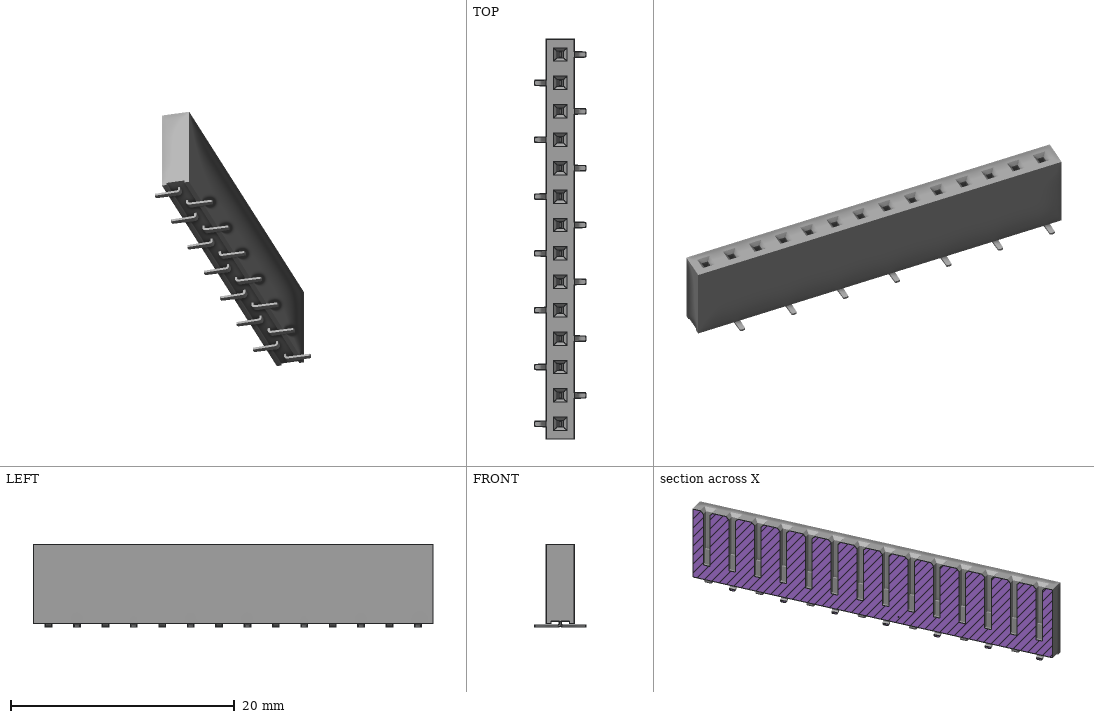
import cadquery as cq

pin_count = 14
pitch = 2.54
end_margin = 0.1
body_width = 2.54
total_height = 7.4
tail_span = 4.64

standoff = 0.3
channel_width = 1.65
channel_depth = 0.2

mouth_size = 1.2
socket_size = 0.6
mouth_depth = 0.3
socket_floor = 2.0

strip_thickness = 0.2
root_width = 0.6
tip_width = 0.48
tip_bulge = 0.06
blade_width = 0.44
blade_height = 3.0
bend_inner_radius = 0.1

body_length = pin_count * pitch + 2 * end_margin
body_height = total_height - standoff
channel_roof = standoff + channel_depth
first_pin_y = pitch * (pin_count - 1) / 2
bend_outer_radius = bend_inner_radius + strip_thickness
tail_reach = tail_span / 2


def make_housing():
    """Rectangular block with a channel running along its underside."""
    block = (
        cq.Workplane("XY", origin=(0, 0, standoff))
        .rect(body_width, body_length)
        .extrude(body_height)
    )
    channel = (
        cq.Workplane("XY", origin=(0, 0, standoff))
        .rect(channel_width, body_length)
        .extrude(channel_depth)
    )
    return block.cut(channel)


def make_socket():
    """Cutting solid for one square blind hole with a tapered mouth."""
    mouth = (
        cq.Workplane("XY", origin=(0, 0, total_height))
        .rect(mouth_size, mouth_size)
        .workplane(offset=-mouth_depth)
        .rect(socket_size, socket_size)
        .loft(ruled=True)
    )
    shaft = (
        cq.Workplane("XY", origin=(0, 0, socket_floor))
        .rect(socket_size, socket_size)
        .extrude(total_height - mouth_depth - socket_floor)
    )
    return mouth.union(shaft)


def make_contact():
    """L-shaped contact whose foot runs out to +X; its blade stands inside the socket."""
    back = -strip_thickness / 2
    front = strip_thickness / 2
    bend_end = back + bend_outer_radius
    strip = (
        cq.Workplane("XZ")
        .moveTo(back, channel_roof)
        .lineTo(back, bend_outer_radius)
        .radiusArc((bend_end, 0), -bend_outer_radius)
        .lineTo(tail_reach, 0)
        .lineTo(tail_reach, strip_thickness)
        .lineTo(bend_end, strip_thickness)
        .radiusArc((front, bend_outer_radius), bend_inner_radius)
        .lineTo(front, channel_roof)
        .close()
        .extrude(root_width / 2, both=True)
    )
    tip_start = tail_reach - tip_bulge
    outline = (
        cq.Workplane("XY")
        .moveTo(back, -root_width / 2)
        .lineTo(bend_end, -root_width / 2)
        .lineTo(tip_start, -tip_width / 2)
        .threePointArc((tail_reach, 0), (tip_start, tip_width / 2))
        .lineTo(bend_end, root_width / 2)
        .lineTo(back, root_width / 2)
        .close()
        .extrude(channel_roof)
    )
    blade = (
        cq.Workplane("XY", origin=(0, 0, channel_roof))
        .rect(strip_thickness, blade_width)
        .extrude(blade_height)
    )
    return strip.intersect(outline).union(blade)


socket = make_socket()
contact = make_contact()
opposite_contact = contact.rotate((0, 0, 0), (0, 0, 1), 180)

result = make_housing()
for index in range(pin_count):
    pin_offset = (0, first_pin_y - index * pitch, 0)
    pin = contact if index % 2 == 0 else opposite_contact
    result = result.cut(socket.translate(pin_offset))
    result = result.union(pin.translate(pin_offset))